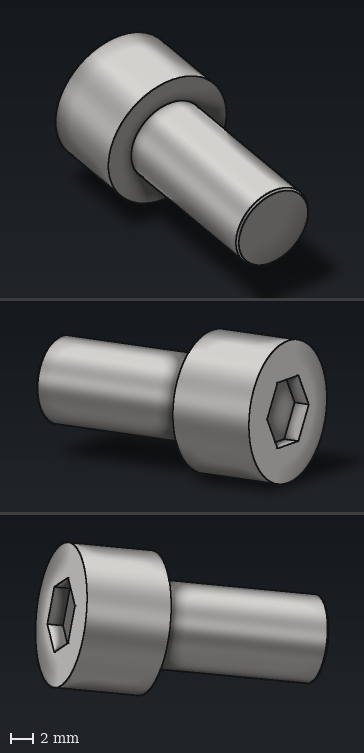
import cadquery as cq
import math

total_length = 24.0
shank_diameter = 8.0
head_diameter = 13.0
head_length = total_length / 3
tip_chamfer = 0.2

socket_across_flats = 6.0
socket_depth = 1.5
socket_across_corners = socket_across_flats / math.cos(math.pi / 6)

head = cq.Workplane("YZ").circle(head_diameter / 2).extrude(head_length)

shank = (
    cq.Workplane("YZ")
    .circle(shank_diameter / 2)
    .extrude(total_length)
    .faces(">X")
    .chamfer(tip_chamfer)
)

socket = cq.Workplane("YZ").polygon(6, socket_across_corners).extrude(socket_depth)

result = head.union(shank).cut(socket)